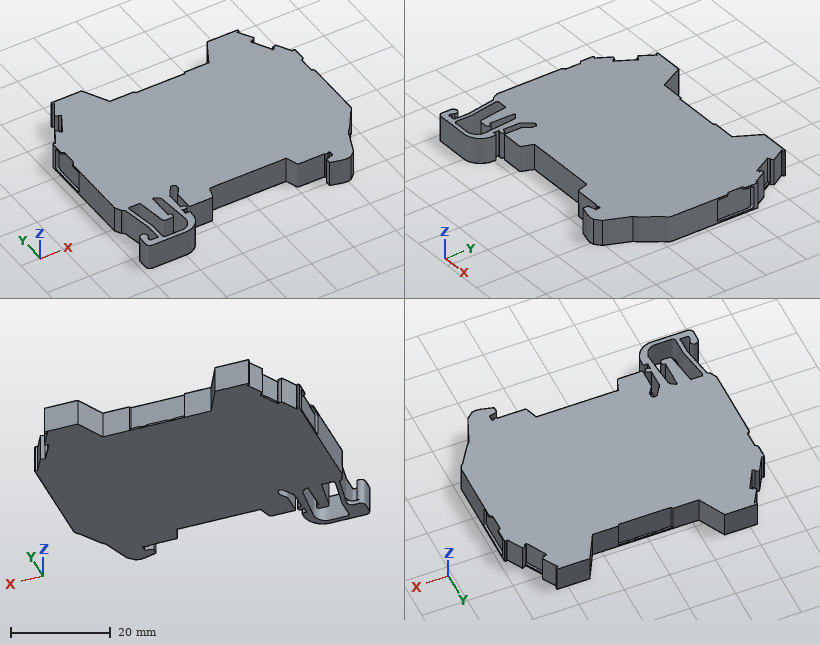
import cadquery as cq
import math


thickness = 6.0
top_y = 49.05
valley_y = 43.25
body_half_width = 28.55
clip_left_x = -29.25
base_y = 6.5
rail_top_y = 9.3
rail_half_top = 9.0
rail_half_bottom = 10.0
rail_edge_radius = 0.45

strip_x = -25.95
strip_bend_y = 5.2
strip_wall = 0.9
hook_top_y = 4.0
hook_corner_radius = 1.0
clip_right_x = -16.3
clip_floor = 1.0
clip_outer_radius = 4.1
clip_inner_radius = 2.6
web_thickness = 1.0
web_fillet = 1.15
slot_left_x = -17.1
slot_right_x = -15.55
slot_end_x = -14.4
slot_end_y = 13.9
slot_end_radius = 0.5

lip = 0.4
marker_width = 0.6
side_pocket_depth = 0.6
side_pocket_low_y = 27.6
side_pocket_high_y = 36.65
side_pocket_bevel = 0.45
pocket_corner_radius = 0.5
finger_center_y = 32.4
finger_half_inner = 1.75
finger_half_outer = 2.25
valley_pocket_depth = 0.4
valley_pocket_half_inner = 5.8
valley_pocket_half_outer = 5.95
groove_inner_x = 2.15
groove_outer_x = 3.7
groove_depth = 0.2


def trimmed_corner(before, corner, after, radius):
    """Start, middle and end of the tangent arc that rounds a corner."""
    def direction(target):
        dx, dy = target[0] - corner[0], target[1] - corner[1]
        length = math.hypot(dx, dy)
        return dx / length, dy / length

    ux, uy = direction(before)
    vx, vy = direction(after)
    half_angle = math.acos(ux * vx + uy * vy) / 2
    setback = radius / math.tan(half_angle)
    bisector = math.hypot(ux + vx, uy + vy)
    reach = (radius / math.sin(half_angle) - radius) / bisector
    start = (corner[0] + ux * setback, corner[1] + uy * setback)
    middle = (corner[0] + (ux + vx) * reach, corner[1] + (uy + vy) * reach)
    end = (corner[0] + vx * setback, corner[1] + vy * setback)
    return start, middle, end


def prism(corners, bottom=0, top=thickness):
    """Extrude a closed outline of (x, y) or (x, y, rounding radius) corners."""
    sketch = cq.Workplane("XY").workplane(offset=bottom).moveTo(*corners[0][:2])
    for i in range(1, len(corners)):
        corner = corners[i]
        if len(corner) == 2:
            sketch = sketch.lineTo(*corner)
            continue
        after = corners[(i + 1) % len(corners)]
        start, middle, end = trimmed_corner(corners[i - 1], corner, after, corner[2])
        sketch = sketch.lineTo(*start).threePointArc(middle, end)
    return sketch.close().extrude(top - bottom)


def mirrored(corners):
    """The same corners on the -X side, in reverse order."""
    return [(-x, y) for x, y in reversed(corners)]


right_shoulder = [
    (body_half_width, 37.65),
    (28.3, 37.9),
    (27.95, 37.65),
    (26, 40.95),
    (25.1, 40.65),
    (22.85, 44.5),
    (23.55, 45.2),
    (21.55, 48.45),
    (22.05, 48.5),
    (22.05, top_y),
    (14.8, top_y),
    (11.7, valley_y),
]

clip_outline = [
    (-body_half_width, 14.05),
    (-27.8, 12.55),
    (-27.25, 12.25, 0.45),
    (strip_x, strip_bend_y),
    (strip_x, hook_top_y, web_fillet),
    (clip_left_x, hook_top_y, hook_corner_radius),
    (clip_left_x, 0, hook_corner_radius),
    (clip_right_x, 0, clip_outer_radius),
    (clip_right_x, 5.15, 0.2),
    (-17.3, 5.15),
    (-17.3, base_y),
]

slot_outline = [
    (-16.9, 6.25),
    (-16.1, 6.25, 0.4),
    (-16.1, 7.15, 0.4),
    (slot_left_x, 7.4),
    (slot_left_x, 11.4, 0.45),
    (-15.5, slot_end_y, slot_end_radius),
    (slot_end_x, slot_end_y, slot_end_radius),
    (slot_end_x, 12.6, 0.3),
    (slot_right_x, 11, 0.45),
    (slot_right_x, base_y, 0.2),
]

rail_recess = [
    (-rail_half_bottom, base_y, rail_edge_radius),
    (-rail_half_top, rail_top_y),
    (rail_half_top, rail_top_y),
    (rail_half_bottom, base_y, rail_edge_radius),
]

fixed_hook = [
    (16.25, base_y),
    (16.35, 6.3),
    (17.0, 6.3),
    (17.1, base_y),
    (17.5, base_y),
    (17.5, 5.4),
    (15.75, 4.85),
    (15.75, 3.6),
    (18.4, 2.9),
    (19.45, 2.8),
    (20.35, 2.95),
    (21.75, 4.15),
    (24.05, 9.95),
    (24.9, 10.9),
    (27.75, 15.05),
    (body_half_width, 15.75, 1.75),
]

body = prism(
    mirrored(right_shoulder) + clip_outline + slot_outline + rail_recess + fixed_hook + right_shoulder
)

strip_inner_x = strip_x + strip_wall
spring_opening = prism([
    (-24.85, 12.55),
    (-23.5, 12.55, 0.2),
    (-22.4, 5.3, 0.7),
    (-19.85, 5.3, 0.6),
    (-19.85, 6.6, 0.6),
    (-20.55, 6.6),
    (-20.55, 12.8, 0.3),
    (-19.0, 11.8, 1.05),
    (-18.0, clip_floor, clip_inner_radius),
    (strip_inner_x, clip_floor, 0.6),
    (strip_inner_x, strip_bend_y),
    (-26.2, 11.8),
    (-26.2, 12.55, 0.3),
])

release_opening = prism([
    (strip_x, strip_bend_y),
    (strip_x, 1.55, 0.2),
    (-27.8, 1.55, 0.25),
    (-27.8, 2.35),
    (-27.45, 2.9),
    (-27.45, hook_top_y, 0.75),
    (-28.45, hook_top_y),
    (-28.45, strip_bend_y),
], bottom=web_thickness)


def marker_recess():
    """Slanted label recess in the right shoulder, with a lip at the lower face."""
    high, low = (22.3, 44.5), (24.8, 40.1)
    length = math.dist(high, low)
    out_x = marker_width * (high[1] - low[1]) / length
    out_y = marker_width * (low[0] - high[0]) / length
    outer_low = (low[0] + out_x, low[1] + out_y)
    outer_high = (high[0] + out_x, high[1] + out_y)
    return prism([high, low, outer_low, outer_high], bottom=lip)


def side_pocket():
    """Label pocket in the right side wall with a finger notch in the upper face."""
    floor_x = body_half_width - side_pocket_depth
    pocket = prism([
        (floor_x, side_pocket_low_y),
        (body_half_width, side_pocket_low_y),
        (body_half_width, side_pocket_high_y),
        (floor_x, side_pocket_high_y - side_pocket_bevel),
    ], bottom=lip, top=thickness - lip).edges("not(|Y or |Z)").fillet(pocket_corner_radius)
    finger_notch = prism([
        (floor_x, finger_center_y - finger_half_inner),
        (body_half_width, finger_center_y - finger_half_outer),
        (body_half_width, finger_center_y + finger_half_outer),
        (floor_x, finger_center_y + finger_half_inner),
    ], bottom=thickness / 2)
    return pocket.union(finger_notch)


def valley_pocket():
    """Pocket between the towers, open at the upper face, with two grooves in its lip."""
    floor_y = valley_y - valley_pocket_depth
    pocket = prism([
        (-valley_pocket_half_inner, floor_y),
        (valley_pocket_half_inner, floor_y),
        (valley_pocket_half_outer, valley_y),
        (-valley_pocket_half_outer, valley_y),
    ], bottom=lip)
    for side in (-1, 1):
        groove = prism([
            (side * groove_inner_x, floor_y),
            (side * groove_outer_x, floor_y),
            (side * groove_outer_x, valley_y),
            (side * groove_inner_x, valley_y),
        ], bottom=lip - groove_depth, top=lip)
        pocket = pocket.union(groove)
    return pocket


result = body.cut(spring_opening).cut(release_opening).cut(valley_pocket())
for right_cut in (marker_recess(), side_pocket()):
    result = result.cut(right_cut).cut(right_cut.mirror("YZ"))